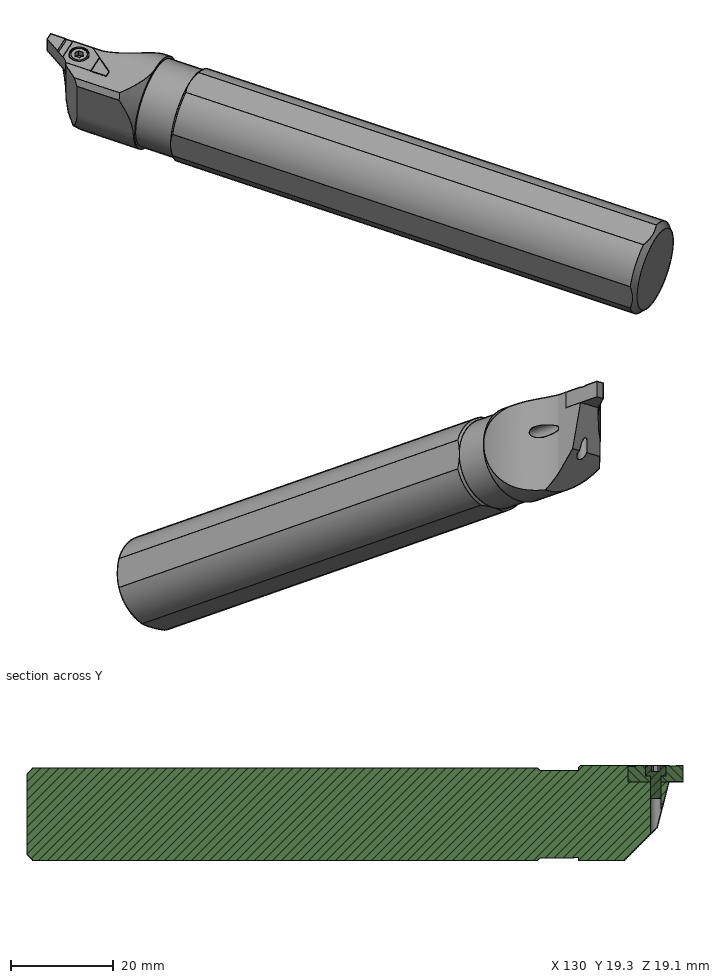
import cadquery as cq
import math


bar_radius = 19.05 / 2
total_length = 130.0
flat_distance = 9.05
neck_radius = flat_distance
shank_start = 30.0
end_chamfer = 1.15
start_chamfer = 0.45

head_end = 22.5
top_z = bar_radius
side_y = -9.755
side_arc_radius = -side_y
side_arc_z = side_arc_radius - bar_radius
corner_chamfer_y = 0.8
corner_chamfer_z = 1.25
cone_end_radius = 9.55

blade_thickness = 3.2
seat_z = top_z - blade_thickness
front_x = 4.8
front_foot_x = 7.1
front_foot_z = top_z - 12.1

relief_start_x = 11.2
relief_middle = (17.2, 2.6)
relief_end = (22.4, 9.6)

coolant_radius = 1.25
coolant_y = 1.2
coolant_z = 2.65
coolant_start_x = relief_start_x
coolant_end_x = shank_start

tip_width = 1.65
blade_slope = math.radians(32.5)
curve_end = (6.3, -6.55)
side_face_end_x = 10.2
insert_side_y = -5.9
insert_back_x = 9.0
insert_tail_x = 14.65
insert_body_x = 11.35
tail_slope = math.radians(38.5)
tail_drop = 0.2
groove_start_x = 3.15
groove_floor_x = 3.45
groove_depth = 0.1

screw_x = 7.4
screw_y = -2.75
screw_head_radius = 1.95
screw_edge_chamfer = 0.35
screw_head_height = 2.0
screw_shank_radius = 1.0
screw_length = 6.5
socket_sides = 6
socket_width = 1.8
socket_depth = 1.2

beyond = 30.0


def cylinder_x(radius, start, end):
    return cq.Workplane("YZ", origin=(start, 0, 0)).circle(radius).extrude(end - start)


def cylinder_z(radius, top, bottom):
    return cq.Workplane("XY", origin=(screw_x, screw_y, bottom)).circle(radius).extrude(top - bottom)


def make_shank():
    """Round bar with four flats and chamfered ends."""
    shank = cylinder_x(bar_radius, shank_start, total_length)
    shank = shank.faces(">X").chamfer(end_chamfer).faces("<X").chamfer(start_chamfer)
    length = total_length - shank_start
    flats = cq.Workplane("YZ", origin=(shank_start, 0, 0)).rect(2 * flat_distance, 2 * flat_distance)
    flats = flats.extrude(length)
    return shank.intersect(flats)


def make_head_block():
    """Head section along X: flat top and flat side, round below and on the far side."""
    arc_reach = side_arc_radius * math.sqrt(0.5)
    arc_middle = (-arc_reach, side_arc_z - arc_reach)
    block = (
        cq.Workplane("YZ")
        .moveTo(0, top_z)
        .lineTo(side_y + corner_chamfer_y, top_z)
        .lineTo(side_y, top_z - corner_chamfer_z)
        .lineTo(side_y, side_arc_z)
        .threePointArc(arc_middle, (0, -bar_radius))
        .threePointArc((bar_radius, 0), (0, top_z))
        .close()
        .extrude(head_end)
    )
    envelope = (
        cq.Workplane("XY")
        .moveTo(0, 0)
        .lineTo(0, cone_end_radius + head_end)
        .lineTo(head_end, cone_end_radius)
        .lineTo(head_end, 0)
        .close()
        .revolve(360, (0, 0, 0), (1, 0, 0))
    )
    return block.intersect(envelope)


def blade_edge_y(x):
    """Y of the sloping blade flank at a given X."""
    return -tip_width - x * math.tan(blade_slope)


def head_plan():
    """Plan outline of the head, with the insert flank, side face and relief."""
    return (
        cq.Workplane("XY", origin=(0, 0, -beyond))
        .moveTo(0, 0)
        .lineTo(0, -tip_width)
        .lineTo(front_x, blade_edge_y(front_x))
        .tangentArcPoint(curve_end, relative=False)
        .lineTo(side_face_end_x, side_y)
        .lineTo(head_end, side_y)
        .lineTo(head_end, relief_end[1])
        .lineTo(*relief_end)
        .threePointArc(relief_middle, (relief_start_x, 0))
        .close()
        .extrude(2 * beyond)
    )


def head_profile():
    """Side outline of the head, with the undercut front and the 45 degree heel."""
    heel_drop = front_foot_z + bar_radius
    return (
        cq.Workplane("XZ", origin=(0, beyond, 0))
        .moveTo(0, top_z)
        .lineTo(0, seat_z)
        .lineTo(front_x, seat_z)
        .lineTo(front_foot_x, front_foot_z)
        .lineTo(front_foot_x + heel_drop, -bar_radius)
        .lineTo(head_end, -bar_radius)
        .lineTo(head_end, top_z)
        .close()
        .extrude(2 * beyond)
    )


def insert_blank():
    """Insert seat at full thickness, wider than the insert at its sloping flank."""
    tail_top_y = -(insert_tail_x - insert_back_x) * math.tan(tail_slope)
    return (
        cq.Workplane("XY", origin=(0, 0, seat_z))
        .moveTo(0, 0)
        .lineTo(0, insert_side_y)
        .lineTo(insert_tail_x, insert_side_y)
        .lineTo(insert_tail_x, tail_top_y)
        .lineTo(insert_back_x, 0)
        .close()
        .extrude(blade_thickness)
    )


def make_insert(head):
    """Insert trimmed to the head outline, with a chip groove and a lower tail."""
    insert = head.intersect(insert_blank())
    groove = (
        cq.Workplane("XZ", origin=(0, beyond, 0))
        .moveTo(groove_start_x, top_z)
        .lineTo(groove_floor_x, top_z - groove_depth)
        .lineTo(front_x, top_z - groove_depth)
        .lineTo(front_x, top_z)
        .close()
        .extrude(2 * beyond)
    )
    tail_step = cq.Workplane("XY").box(beyond, beyond, tail_drop, centered=(False, True, False))
    tail_step = tail_step.translate((insert_body_x, 0, top_z - tail_drop))
    return insert.cut(groove).cut(tail_step)


def screw_envelope(length):
    """Cylindrical head and shank of the screw, also used to cut its hole."""
    head = cylinder_z(screw_head_radius, top_z, top_z - screw_head_height)
    return head.union(cylinder_z(screw_shank_radius, top_z, top_z - length))


def make_screw():
    """Clamping screw with a hexagonal socket."""
    screw = screw_envelope(screw_length).faces(">Z").chamfer(screw_edge_chamfer)
    socket = (
        cq.Workplane("XY", origin=(screw_x, screw_y, top_z - socket_depth))
        .polygon(socket_sides, socket_width)
        .extrude(socket_depth)
    )
    return screw.cut(socket)


head = make_head_block().intersect(head_plan()).intersect(head_profile())
screw_hole = screw_envelope(2 * beyond)
coolant_hole = (
    cq.Workplane("YZ", origin=(coolant_start_x, coolant_y, coolant_z))
    .circle(coolant_radius)
    .extrude(coolant_end_x - coolant_start_x)
)

holder = (
    head.cut(insert_blank())
    .union(cylinder_x(neck_radius, head_end, shank_start))
    .union(make_shank())
    .cut(coolant_hole)
    .cut(screw_hole)
)
insert = make_insert(head).cut(screw_hole)
screw = make_screw()

result = cq.Compound.makeCompound([body.solids().val() for body in (holder, insert, screw)])